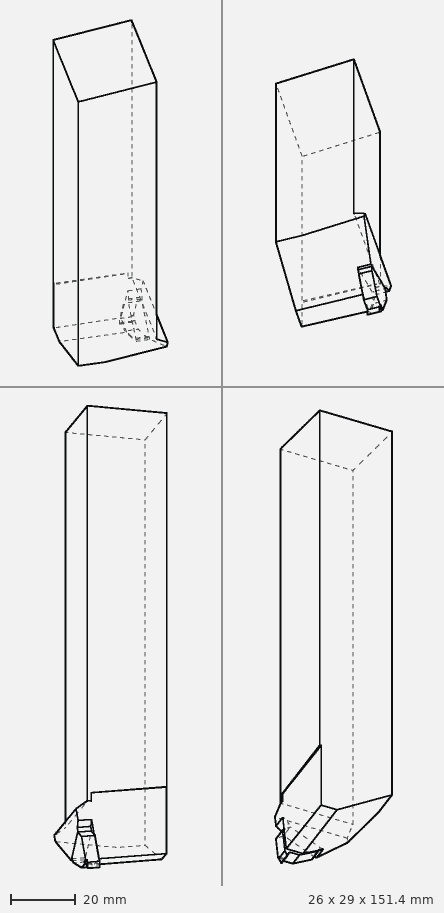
import cadquery as cq
import math

shank_size = 25.5
tool_length = 151.4
head_tilt = 10.0
lead_angle = 30.0
nose_y = 29.0
nose_z = 19.0
nose_root_z = 22.1
side_relief = 0.5
nose_relief = 0.08
end_flat_x = 6.0
head_depth = 16.7

relief_front_z = 29.0
relief_edge_y = 24.2

clearance_start = (13.5, 7.0)
clearance_end_z = 17.1

insert_thickness = 4.4
insert_side_x = -0.5
insert_bottom = 17.7
insert_flank_x = 4.7
insert_corner_x = 11.8
insert_end = (12.5, -12.0)
insert_shoulder = (2.4, -6.8)
insert_side_top = -9.2
tip_x = 0.3
tip_root_x = 1.2
rake_depth = 0.5
rake_start = 17.0

notch_top = -3.8
notch_bend = (2.0, -5.5)

gap_end = (13.6, -12.4)

margin = 7.5

tilt = math.radians(head_tilt)
tip_height = -(nose_z + rake_depth * math.sin(tilt)) / math.cos(tilt)
lead_slope = math.tan(math.radians(lead_angle))


def tilted_prism(points, inner, outer):
    """Prism of an (X, height) outline between two depths of the tilted nose frame."""
    prism = cq.Workplane("XZ").polyline(points).close().extrude(outer - inner)
    prism = prism.translate((0, outer, 0))
    prism = prism.rotate((0, 0, 0), (1, 0, 0), -head_tilt)
    return prism.translate((0, nose_y, nose_z))


def side_prism(points, start_x, end_x):
    """Prism of a (Y, Z) outline between two X positions."""
    return cq.Workplane("YZ").workplane(offset=start_x).polyline(points).close().extrude(end_x - start_x)


insert_outline = [
    (insert_side_x, insert_side_top),
    (insert_side_x, -insert_bottom),
    (tip_x, tip_height),
    (tip_root_x, -insert_bottom),
    (insert_flank_x, -insert_bottom),
    (insert_corner_x, -insert_bottom + (insert_corner_x - insert_flank_x) * lead_slope),
    insert_end,
    insert_shoulder,
]


def make_insert():
    body = tilted_prism(insert_outline, -insert_thickness, 0)
    rake_outline = [
        (insert_side_x - margin, -rake_start),
        (tip_root_x, -rake_start),
        (tip_root_x, tip_height - margin),
        (insert_side_x - margin, tip_height - margin),
    ]
    return body.cut(tilted_prism(rake_outline, -rake_depth, margin)).solids()


def make_blank():
    """Shank and nose, reaching down past the head end."""
    front_drop = nose_z + margin
    return side_prism(
        [
            (0, tool_length),
            (shank_size, tool_length),
            (shank_size, nose_root_z),
            (nose_y, nose_z),
            (nose_y - front_drop * math.tan(tilt), -margin),
            (0, -margin),
        ],
        0,
        shank_size,
    )


def end_cut():
    """Material below the flat end and the sloping flank."""
    far_x = shank_size + margin
    floor = -head_depth - shank_size
    outline = [
        (-margin, -head_depth),
        (end_flat_x, -head_depth),
        (far_x, -head_depth + (far_x - end_flat_x) * lead_slope),
        (far_x, floor),
        (-margin, floor),
    ]
    return tilted_prism(outline, -nose_y - margin, margin)


def clearance_cut():
    start_x, start_z = clearance_start
    slope = (clearance_end_z - start_z) / (shank_size - start_x)
    low_x = start_x - margin
    far_x = shank_size + margin
    low_z = start_z - margin * slope
    far_z = clearance_end_z + margin * slope
    outline = [(low_x, low_z), (far_x, far_z), (far_x, low_z)]
    return cq.Workplane("XZ").polyline(outline).close().extrude(-nose_y - margin)


def side_relief_cut():
    outline = [
        (0, relief_front_z),
        (relief_edge_y, relief_front_z - relief_edge_y * math.tan(tilt)),
        (relief_edge_y, nose_root_z),
        (nose_y + margin, nose_root_z),
        (nose_y + margin, -margin),
        (0, -margin),
    ]
    slab = side_prism(outline, -margin, side_relief)
    wedge = (
        cq.Workplane("XY")
        .workplane(offset=-margin)
        .polyline([(-margin, 0), (side_relief, 0), (nose_relief, nose_y), (-margin, nose_y)])
        .close()
        .extrude(relief_front_z + 2 * margin)
    )
    return slab.intersect(wedge)


def insert_pocket():
    """Seat behind the insert, open towards the nose side, with a notch above it and a gap behind it."""
    seat = tilted_prism(insert_outline, -insert_thickness, margin)
    notch_outline = [
        (insert_side_x, notch_top),
        (nose_relief, notch_top),
        notch_bend,
        insert_shoulder,
        (insert_side_x, insert_side_top),
    ]
    notch = tilted_prism(notch_outline, -insert_thickness, margin)
    gap_outline = [
        insert_end,
        gap_end,
        (gap_end[0], -insert_bottom),
        (insert_corner_x, -insert_bottom),
        (insert_corner_x, -insert_bottom + (insert_corner_x - insert_flank_x) * lead_slope),
    ]
    gap = tilted_prism(gap_outline, -insert_thickness, margin)
    return seat.union(notch).union(gap)


def make_holder():
    holder = make_blank().cut(end_cut()).cut(clearance_cut())
    return holder.cut(side_relief_cut()).cut(insert_pocket()).solids()


holder = make_holder()
insert = make_insert()
result = cq.Compound.makeCompound([holder.val(), insert.val()])